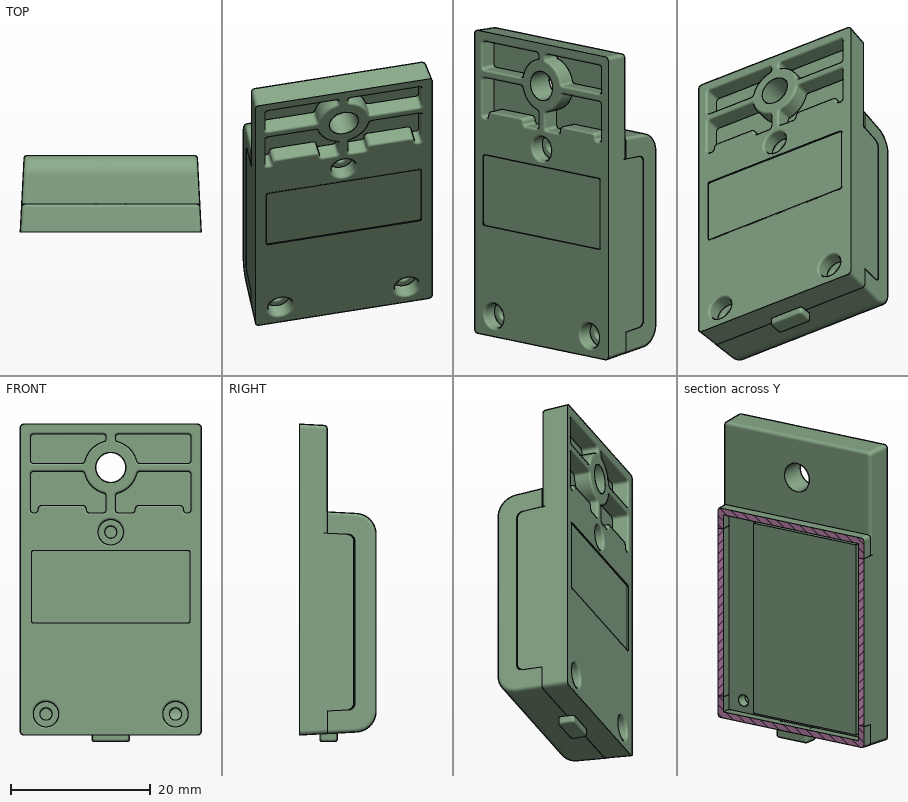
import cadquery as cq
import math

width = 26.0
depth = 11.0
top_z = 45.5
bottom_z = 0.9
draft_angle = 3.0
edge_radius = 0.5
corner_radius = 0.6
wall = 1.0

plate_depth = 4.0
panel_bottom_z = 4.35
panel_top_z = 29.85
panel_depth = 7.83
panel_radius = 1.0
panel_gap = 0.15

mount_z = 39.25
mount_radius = 2.15
mount_boss_radius = 3.5

pocket_depth = 2.5
pocket_half_width = 11.85
pocket_top_z = 44.35
pocket_bottom_z = 32.45
upright_rib = 0.7
cross_rib = 0.5
pocket_corner_radius = 0.45
mouth_radius = 0.3
bump_left = -10.1
bump_right = -3.8
bump_top_z = 33.55
bump_radius = 0.6

label_width = 22.75
label_top_z = 27.4
label_bottom_z = 16.95
label_recess = 0.2
label_corner_radius = 0.3

screw_x = 9.3
screw_low_z = 3.9
screw_high_z = 30.0
counterbore_radius = 1.8
counterbore_depth = 2.2
screw_radius = 0.85
screw_rim = 0.27

cover_top_z = 33.12
cover_radius = 3.0

board_left = -10.9
board_right = 6.82
board_bottom_z = 2.75
board_top_z = 31.4
board_thickness = 1.0

tab_width = 5.35
tab_thickness = 2.5
tab_centre_y = 4.2
tab_height = 2.0
tab_side_radius = 0.5
tab_end_radius = 0.3

screw_places = [(-screw_x, screw_low_z), (screw_x, screw_low_z), (0, screw_high_z)]


def inset_at(y):
    """Distance a drafted wall has moved inward at depth y."""
    return y * math.tan(math.radians(draft_angle))


def block(x0, x1, y0, y1, z0, z1):
    """Box between two opposite corners."""
    return cq.Workplane("XY").box(x1 - x0, y1 - y0, z1 - z0, centered=False).translate((x0, y0, z0))


def drafted_block(half_x, z0, z1, y0, y1):
    """Box from y0 to y1 whose four sides lean inward; its sizes are those at Y = 0."""
    start = inset_at(y0)
    plane = cq.Plane(origin=(0, y0, (z0 + z1) / 2), xDir=(-1, 0, 0), normal=(0, 1, 0))
    return (
        cq.Workplane(plane)
        .rect(2 * (half_x - start), z1 - z0 - 2 * start)
        .extrude(y1 - y0, taper=draft_angle)
    )


def cylinder(x, z, radius, y0, y1):
    """Cylinder along Y."""
    return cq.Workplane("XZ", origin=(x, y0, z)).circle(radius).extrude(y0 - y1)


def make_shell():
    """Hollow rounded shell, open toward the plate."""
    outer = drafted_block(width / 2, bottom_z, cover_top_z, plate_depth, depth)
    outer = outer.faces(">Y").edges("|X").fillet(cover_radius)
    outer = outer.faces("<X or >X").edges("not <Y").fillet(edge_radius)
    cavity = drafted_block(width / 2 - wall, bottom_z + wall, cover_top_z - wall, plate_depth, depth - wall)
    cavity = cavity.faces(">Y").edges("|X").fillet(cover_radius - wall)
    return outer.cut(cavity)


def panel_prism(back_y):
    """Drafted block across the full width, up to back_y, that outlines the side panels."""
    end_inset = inset_at(back_y - plate_depth)
    return (
        cq.Workplane("YZ", origin=(-width / 2, 0, 0))
        .polyline([
            (plate_depth, panel_bottom_z),
            (back_y, panel_bottom_z + end_inset),
            (back_y, panel_top_z - end_inset),
            (plate_depth, panel_top_z),
        ])
        .close()
        .extrude(width)
        .faces(">Y").edges("|X").fillet(panel_radius)
    )


def make_plate():
    """Drafted plate whose back edges are rounded above the side panels only."""
    plate = drafted_block(width / 2, bottom_z, top_z, 0, plate_depth)
    plate = plate.edges("not #Y").fillet(corner_radius)
    lower = plate.intersect(block(-width, width, 0, plate_depth, bottom_z, panel_top_z))
    upper = plate.faces(">Y").edges("not <Z").fillet(edge_radius)
    upper = upper.intersect(block(-width, width, 0, plate_depth, panel_top_z, top_z))
    return lower.union(upper)


def pocket_blank(x0, x1, z0, z1):
    """Plain rectangular pocket, shrunk by the mouth rounding, less the mounting boss."""
    m = mouth_radius
    blank = block(x0 + m, x1 - m, 0, pocket_depth, z0 + m, z1 - m)
    return blank.cut(cylinder(0, mount_z, mount_boss_radius + m, 0, pocket_depth))


def make_left_pockets():
    """Upper and lower pocket on the -X side; a bump rises from the floor line of the lower one."""
    outer_x = -pocket_half_width
    inner_x = -upright_rib / 2
    upper = pocket_blank(outer_x, inner_x, mount_z + cross_rib / 2, pocket_top_z)
    lower = pocket_blank(outer_x, inner_x, pocket_bottom_z, mount_z - cross_rib / 2)
    bump = block(
        bump_left - mouth_radius, bump_right + mouth_radius,
        0, pocket_depth,
        pocket_bottom_z, bump_top_z + mouth_radius,
    )
    along_y = cq.selectors.ParallelDirSelector(cq.Vector(0, 1, 0))
    bump_corners = along_y & cq.selectors.BoxSelector(
        (outer_x, 0, bump_top_z),
        (inner_x, pocket_depth, bump_top_z + 2 * mouth_radius),
    )
    lower = lower.cut(bump)
    lower = lower.edges(along_y - bump_corners).fillet(pocket_corner_radius)
    lower = lower.edges(bump_corners).fillet(bump_radius)
    upper = upper.edges(along_y).fillet(pocket_corner_radius)
    return [upper, lower]


def cut_pockets(plate):
    """Cut the four mirrored pockets and round their mouths."""
    for left_pocket in make_left_pockets():
        for pocket in (left_pocket, left_pocket.mirror("YZ")):
            plate = plate.cut(pocket)
    mouths = cq.selectors.BoxSelector(
        (-pocket_half_width, -mouth_radius, pocket_bottom_z),
        (pocket_half_width, mouth_radius, pocket_top_z),
    )
    return plate.edges(mouths).fillet(mouth_radius)


def cut_label_recess(plate):
    recess = block(-label_width / 2, label_width / 2, 0, label_recess, label_bottom_z, label_top_z)
    return plate.cut(recess.edges("|Y").fillet(label_corner_radius))


def rounded_rim_cutter(radius, rim, y0, y1):
    """Cylindrical cutter from y0 to y1 that flares at y0, leaving a rim rounded to radius rim."""
    mid = rim * (1 - math.sqrt(0.5))
    return (
        cq.Workplane("XY")
        .moveTo(0, y0)
        .lineTo(radius + rim, y0)
        .threePointArc((radius + mid, y0 + mid), (radius, y0 + rim))
        .lineTo(radius, y1)
        .lineTo(0, y1)
        .close()
        .revolve(360, (0, 0, 0), (0, 1, 0))
    )


def screw_hole(x, z):
    """Counterbored through hole along Y, rounded at the mouth and at the counterbore floor."""
    counterbore = rounded_rim_cutter(counterbore_radius, mouth_radius, 0, counterbore_depth)
    shank = rounded_rim_cutter(screw_radius, screw_rim, counterbore_depth, plate_depth)
    return counterbore.union(shank).translate((x, 0, z))


def make_tab():
    tab = block(
        -tab_width / 2, tab_width / 2,
        tab_centre_y - tab_thickness / 2, tab_centre_y + tab_thickness / 2,
        0, tab_height,
    )
    return tab.edges("|Z").fillet(tab_side_radius).faces("<Z").edges().fillet(tab_end_radius)


def make_base(shell, tab):
    base = cut_label_recess(cut_pockets(make_plate()))
    base = base.cut(cylinder(0, mount_z, mount_radius, 0, plate_depth))
    for x, z in screw_places:
        base = base.cut(screw_hole(x, z))
    panels = shell.intersect(panel_prism(panel_depth))
    return base.union(panels).cut(tab)


def make_cover(shell, tab):
    return shell.cut(panel_prism(panel_depth + panel_gap)).cut(tab)


def make_board():
    return block(
        board_left, board_right,
        plate_depth, plate_depth + board_thickness,
        board_bottom_z, board_top_z,
    )


shell = make_shell()
tab = make_tab()
base = make_base(shell, tab)
cover = make_cover(shell, tab)
board = make_board()

result = cq.Compound.makeCompound([base.val(), cover.val(), board.val(), tab.val()])